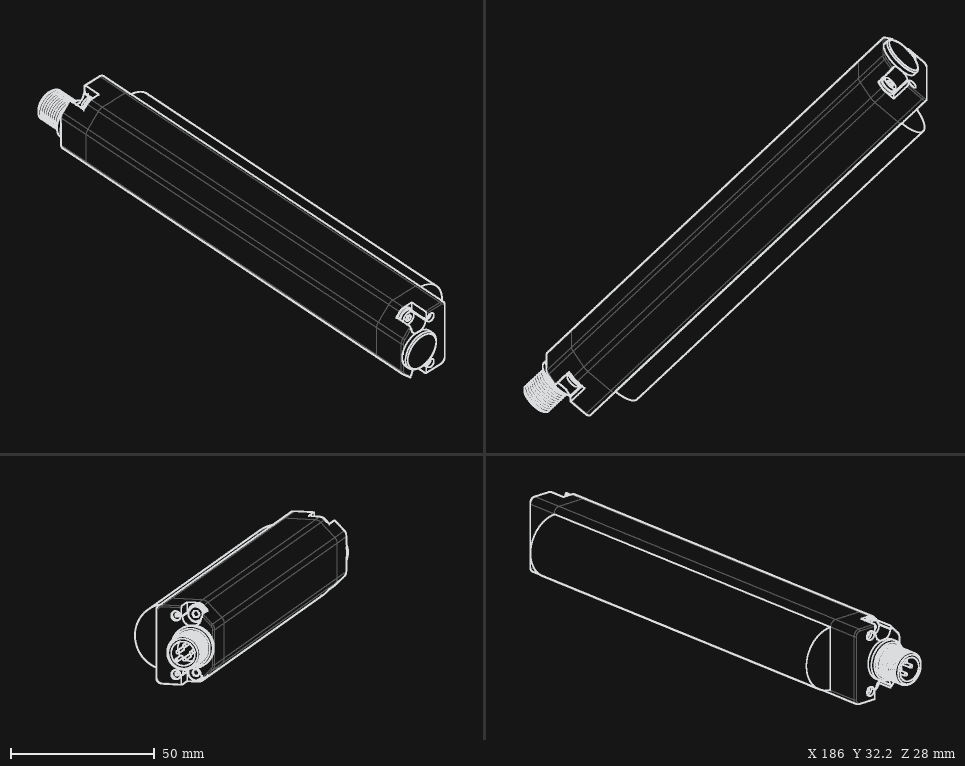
import cadquery as cq
import math

total_length = 186.0
housing_start = 13.2
plug_length = 2.2
housing_end = total_length - plug_length
housing_mid = (housing_start + housing_end) / 2
cap_length = 12.8

housing_depth = 21.0
housing_height = 28.0
half_height = housing_height / 2
front_chamfer = 6.7
front_edge_radius = 2.8
back_edge_radius = 2.2
end_edge_radius = 0.5

total_depth = 32.2
bar_radius = 11.7
bar_axis_y = total_depth - bar_radius
bar_end_gap = 0.4

connector_y = 7.5
collar_radius = 7.5
collar_length = 2.5
collar_chamfer = 0.7
thread_radius = 6.0
thread_pitch = 1.0
thread_depth = 0.65
thread_count = 9
thread_lead = 1.0
tip_chamfer = 0.65
socket_radius = 4.3
socket_depth = 8.4
pin_radius = 0.5
pin_circle_radius = 2.5
pin_count = 4
pin_recess = 1.9
pin_root = 0.5
key_radius = 0.5
key_angle = -45
plug_chamfer = 0.5

screw_y = 8.0
screw_z = 10.5
pocket_width = 7.5
pocket_floor_radius = 3.3
pocket_length = 7.3
head_radius = 2.6
head_length = 1.3
washer_radius = 3.2
washer_thickness = 1.0
hex_socket_size = 2.6
hex_socket_depth = 1.0

side_hole_y = 13.8
side_hole_radius = 1.7
side_hole_depth = 1.5
pilot_radius = 0.65
pilot_depth = 3.0


def rod(x_start, length, radius, y, z):
    """Cylinder along X, starting at x_start."""
    return cq.Workplane("YZ", origin=(x_start, y, z)).circle(radius).extrude(length)


def housing_block(x_start, length):
    """Length of the housing section, with its long edges rounded."""
    outline = [
        (0, half_height - front_chamfer),
        (front_chamfer, half_height),
        (housing_depth, half_height),
        (housing_depth, -half_height),
        (front_chamfer, -half_height),
        (0, front_chamfer - half_height),
    ]
    block = cq.Workplane("YZ", origin=(x_start, 0, 0)).polyline(outline).close().extrude(length)
    block = block.edges("|X and (not >Y)").fillet(front_edge_radius)
    return block.edges("|X and >Y").fillet(back_edge_radius)


def pocket(z):
    """Round-floored pocket for a screw, open to the end face and to the nearer long face."""
    outward = math.copysign(half_height, z)
    channel = cq.Workplane("XY").box(
        pocket_length, pocket_width, half_height, centered=(False, True, True)
    ).translate((housing_start, screw_y, z + outward / 2))
    return channel.union(rod(housing_start, pocket_length, pocket_floor_radius, screw_y, z))


def screw(z):
    """Socket-head screw and washer at the bottom of its pocket."""
    washer_start = housing_start + pocket_length - washer_thickness
    head_start = washer_start - head_length
    body = rod(washer_start, washer_thickness, washer_radius, screw_y, z)
    body = body.union(rod(head_start, head_length, head_radius, screw_y, z))
    hex_socket = (
        cq.Workplane("YZ", origin=(head_start, screw_y, z))
        .polygon(6, hex_socket_size)
        .extrude(hex_socket_depth)
    )
    return body.cut(hex_socket)


def near_cap():
    """End cap at the connector end, with rounded rim, pockets, screws and small holes."""
    cap = housing_block(housing_start, cap_length).faces("<X").edges().fillet(end_edge_radius)
    for z in (screw_z, -screw_z):
        cap = cap.cut(pocket(z)).union(screw(z))
        cap = cap.cut(rod(housing_start, side_hole_depth, side_hole_radius, side_hole_y, z))
        cap = cap.cut(rod(housing_start, pilot_depth, pilot_radius, side_hole_y, z))
    return cap


def connector():
    """Collar and threaded sleeve with pins and a coding key inside its socket."""
    thread_profile = [(0, 0), (0, thread_radius - tip_chamfer), (tip_chamfer, thread_radius)]
    for turn in range(thread_count):
        groove_start = thread_lead + turn * thread_pitch
        thread_profile += [
            (groove_start, thread_radius),
            (groove_start + thread_pitch / 2, thread_radius - thread_depth),
        ]
    thread_end = thread_lead + thread_count * thread_pitch
    thread_profile += [(thread_end, thread_radius), (housing_start, thread_radius), (housing_start, 0)]
    sleeve = (
        cq.Workplane("XY")
        .polyline(thread_profile)
        .close()
        .revolve(360, (0, 0, 0), (1, 0, 0))
        .translate((0, connector_y, 0))
    )
    collar = rod(housing_start - collar_length, collar_length, collar_radius, connector_y, 0)
    collar = collar.faces("<X").edges().chamfer(collar_chamfer)
    body = sleeve.union(collar).cut(rod(0, socket_depth, socket_radius, connector_y, 0))
    pin_length = socket_depth - pin_recess + pin_root
    for index in range(pin_count):
        angle = 2 * math.pi * index / pin_count
        pin_y = connector_y + pin_circle_radius * math.cos(angle)
        pin_z = pin_circle_radius * math.sin(angle)
        body = body.union(rod(pin_recess, pin_length, pin_radius, pin_y, pin_z))
    key_y = connector_y + socket_radius * math.cos(math.radians(key_angle))
    key_z = socket_radius * math.sin(math.radians(key_angle))
    return body.union(rod(pin_recess, pin_length, key_radius, key_y, key_z))


def plug():
    """Round plug on the far end."""
    disc = rod(housing_end, plug_length, collar_radius, connector_y, 0)
    return disc.faces(">X").edges().chamfer(plug_chamfer)


cap = near_cap()
far_cap = cap.mirror("YZ", (housing_mid, 0, 0))
middle_start = housing_start + cap_length
middle_length = housing_end - cap_length - middle_start
middle = housing_block(middle_start, middle_length)
back_bar = rod(middle_start, middle_length - bar_end_gap, bar_radius, bar_axis_y, 0)

result = middle.union(back_bar)
for piece in (cap, far_cap, connector(), plug()):
    result = result.union(piece, clean=False)